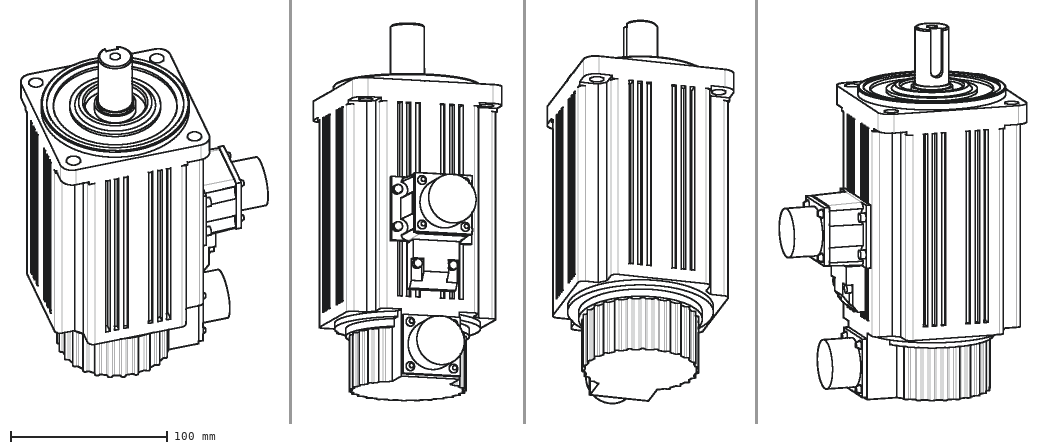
import cadquery as cq
import math


side = 100.0
half_side = side / 2
flange_corner_radius = 8.0
flange_corner_thickness = 12.4
flange_thickness = 14.5
bolt_hole_diameter = 9.0
bolt_spacing = 81.2

pilot_radius = 47.5
pilot_height = 5.0
pilot_chamfer = 0.7
pilot_lip_radius = 44.0
pilot_step_radius = 39.7
pilot_step_height = 3.8
pilot_floor_height = 2.0
ring_foot_radius = 29.2
ring_base_radius = 26.0
ring_top_radius = 23.5
ring_height = 6.2
ring_bore_radius = 19.7
ring_bore_chamfer = 1.2

shaft_radius = 11.0
shaft_tip = 44.5
shaft_chamfer = 1.0
shaft_seat_depth = flange_thickness
collar_radius = 13.3
collar_height = 5.5
shoulder_radius = 11.9
shoulder_height = 7.4
keyway_width = 8.0
keyway_floor = 7.0
keyway_end = 13.0
center_hole_diameter = 6.6
center_hole_depth = 14.2
drill_tip_angle = 118

stator_end = -140.8
cover_end = -149.5
notch_edge = 33.0
notch_chamfer = 4.5
notch_fillet = 3.8
core_radius = 48.5
slot_width = 2.8
slot_offsets = (8.3, 14.5, 20.5)

encoder_end = shaft_tip - 237.5
encoder_disc_radius = 46.8
encoder_disc_end = -153.0
encoder_band_radius = 39.7
encoder_band_end = -158.0
encoder_root_radius = 35.6
rib_count = 21
rib_pitch_angle = 13.5
rib_height = 2.0
rib_length = 5.7
rib_width = 3.0
rib_root_fillet = 1.2
encoder_block_width = 39.0

socket_plate_side = 38.2
barrel_radius = 16.0
barrel_length = 19.0
socket_screw_offset = 14.5
socket_screw_radius = 2.8
socket_screw_tip_radius = 1.5
socket_screw_height = 2.8
encoder_socket_z = -172.5
encoder_plate_thickness = 3.0

power_socket_z = -84.5
power_plate_thickness = 3.5
power_base_width = 53.7
power_base_height = 41.3
power_base_thickness = 2.8
pedestal_length = 22.3
pedestal_taper = 2
pedestal_corner_radius = 4.5
relief_radius = 5.2
relief_x = 21.4
base_screw_x = 23.5
base_screw_z = 12.0
base_screw_radius = 2.8
base_screw_height = 3.5

wedge_width = 30.9
wedge_depth = 12.8
wedge_top = -106.0
wedge_end = -136.3
wedge_slope_start = -126.4
wedge_slope_depth = 4.8
wedge_notch_width = 7.1
wedge_notch_depth = 4.5
wedge_notch_top = -118.0
wedge_screw_z = -121.1
wedge_screw_radius = 2.8
wedge_screw_height = 3.5


def square_prism(top, bottom):
    """Square block with the motor's side length."""
    return cq.Workplane("XY").workplane(offset=bottom).rect(side, side).extrude(top - bottom)


def disc(radius, top, bottom):
    return cq.Workplane("XY").workplane(offset=bottom).circle(radius).extrude(top - bottom)


def notched_prism(top, bottom):
    """Square block with an L-shaped notch along each corner, so the flange bolts stay reachable."""
    inner = notch_edge + notch_chamfer
    quarter = [(half_side, notch_edge), (inner, notch_edge), (notch_edge, inner), (notch_edge, half_side)]
    outline = []
    for turn in range(4):
        cos, sin = round(math.cos(turn * math.pi / 2)), round(math.sin(turn * math.pi / 2))
        outline += [(x * cos - y * sin, x * sin + y * cos) for x, y in quarter]
    return cq.Workplane("XY").workplane(offset=bottom).polyline(outline).close().extrude(top - bottom)


def on_outer_side(edge):
    center = edge.Center()
    return max(abs(center.x), abs(center.y)) > half_side - notch_fillet


def make_flange():
    plate = square_prism(0, -flange_corner_thickness).edges("|Z").fillet(flange_corner_radius)
    bolt_holes = (
        cq.Workplane("XY").rect(bolt_spacing, bolt_spacing, forConstruction=True).vertices()
        .circle(bolt_hole_diameter / 2).extrude(-flange_thickness)
    )
    return plate.union(notched_prism(-flange_corner_thickness, -flange_thickness)).cut(bolt_holes)


def make_pilot():
    """Turned pilot with two sunken steps and a conical seal ring around the shaft recess."""
    profile = [
        (ring_bore_radius, 0),
        (pilot_radius, 0),
        (pilot_radius, pilot_height - pilot_chamfer),
        (pilot_radius - pilot_chamfer, pilot_height),
        (pilot_lip_radius, pilot_height),
        (pilot_lip_radius, pilot_step_height),
        (pilot_step_radius, pilot_step_height),
        (pilot_step_radius, pilot_floor_height),
        (ring_foot_radius, pilot_floor_height),
        (ring_foot_radius, pilot_step_height),
        (ring_base_radius, pilot_step_height),
        (ring_top_radius, ring_height),
        (ring_bore_radius + ring_bore_chamfer, ring_height),
        (ring_bore_radius, ring_height - ring_bore_chamfer),
    ]
    return cq.Workplane("XZ").polyline(profile).close().revolve(360, (0, 0), (0, 1))


def make_stator():
    """Notched body with cooling slots that reach in to the round stator core."""
    body = notched_prism(-flange_thickness, cover_end).edges("|Z").filter(on_outer_side).fillet(notch_fillet)
    slot_positions = [(sign * offset, 0) for offset in slot_offsets for sign in (-1, 1)]
    slots = (
        cq.Workplane("XY").workplane(offset=stator_end)
        .pushPoints(slot_positions).rect(slot_width, side).extrude(-flange_thickness - stator_end)
    )
    core = disc(core_radius, -flange_thickness, stator_end)
    for angle in (0, 90):
        body = body.cut(slots.rotate((0, 0, 0), (0, 0, 1), angle).cut(core))
    return body


def on_encoder_root(edge):
    center = edge.Center()
    return abs(math.hypot(center.x, center.y) - encoder_root_radius) < rib_height / 10


def make_ribbed_drum():
    """Round drum with round-nosed ribs spread evenly around -Y, blended into the drum by a fillet along each side."""
    center_radius = encoder_root_radius + rib_height - rib_length / 2
    rib_span = (rib_count - 1) * rib_pitch_angle
    drum = disc(encoder_root_radius, encoder_band_end, encoder_end)
    ribs = (
        cq.Workplane("XY").workplane(offset=encoder_end)
        .polarArray(center_radius, -90 - rib_span / 2, rib_span, rib_count)
        .slot2D(rib_length, rib_width).extrude(encoder_band_end - encoder_end)
    )
    drum = drum.union(ribs)
    return drum.edges("|Z").filter(on_encoder_root).fillet(rib_root_fillet)


def make_encoder():
    encoder = disc(encoder_disc_radius, cover_end, encoder_disc_end)
    encoder = encoder.union(disc(encoder_band_radius, encoder_disc_end, encoder_band_end))
    block = (
        cq.Workplane("XY").workplane(offset=encoder_end)
        .center(0, half_side / 2).rect(encoder_block_width, half_side).extrude(cover_end - encoder_end)
    )
    return encoder.union(make_ribbed_drum()).union(block)


def facing_back(y, z):
    """Workplane facing +Y, with local x along Z and local y along X."""
    return cq.Workplane("ZX", origin=(0, y, z))


def make_socket(y, z, plate_thickness):
    """Square plate and round barrel, with a domed screw in each plate corner."""
    plate = facing_back(y, z).rect(socket_plate_side, socket_plate_side).extrude(plate_thickness)
    front = y + plate_thickness
    barrel = facing_back(front, z).circle(barrel_radius).extrude(barrel_length)
    screw_taper = math.degrees(math.atan2(socket_screw_radius - socket_screw_tip_radius, socket_screw_height))
    screws = (
        facing_back(front, z)
        .rect(2 * socket_screw_offset, 2 * socket_screw_offset, forConstruction=True).vertices()
        .circle(socket_screw_radius).extrude(socket_screw_height, taper=screw_taper)
    )
    return plate.union(barrel).union(screws)


def make_power_socket():
    """Socket raised on a tapered pedestal, whose flanks are relieved around the base screws."""
    base = facing_back(half_side, power_socket_z).rect(power_base_height, power_base_width)
    base = base.extrude(power_base_thickness)
    pedestal_y = half_side + power_base_thickness
    pedestal = (
        facing_back(pedestal_y, power_socket_z).rect(power_base_height, power_base_height)
        .extrude(pedestal_length, taper=pedestal_taper)
        .edges("not(#Y)").edges("not(|X or |Z)").fillet(pedestal_corner_radius)
    )
    reliefs = (
        facing_back(pedestal_y, power_socket_z)
        .rect(2 * base_screw_z, 2 * relief_x, forConstruction=True).vertices()
        .circle(relief_radius).extrude(pedestal_length)
    )
    screws = (
        facing_back(pedestal_y, power_socket_z)
        .rect(2 * base_screw_z, 2 * base_screw_x, forConstruction=True).vertices()
        .circle(base_screw_radius).extrude(base_screw_height)
    )
    socket = make_socket(pedestal_y + pedestal_length, power_socket_z, power_plate_thickness)
    return base.union(pedestal.cut(reliefs)).union(screws).union(socket)


def make_wedge():
    """Cable cover with a sloped lower end and a screw notch on each side."""
    face = half_side + wedge_depth
    profile = [
        (half_side, wedge_top),
        (face, wedge_top),
        (face, wedge_slope_start),
        (half_side + wedge_slope_depth, wedge_end),
        (half_side, wedge_end),
    ]
    wedge = cq.Workplane("YZ").polyline(profile).close().extrude(wedge_width / 2, both=True)
    notch_floor = face - wedge_notch_depth
    notch_height = wedge_notch_top - wedge_end
    screw_x = (wedge_width - wedge_notch_width) / 2
    for sign in (-1, 1):
        notch = (
            facing_back(notch_floor, wedge_end + notch_height / 2)
            .center(0, sign * screw_x).rect(notch_height, wedge_notch_width).extrude(wedge_notch_depth)
        )
        screw = (
            facing_back(notch_floor, wedge_screw_z)
            .center(0, sign * screw_x).circle(wedge_screw_radius).extrude(wedge_screw_height)
        )
        wedge = wedge.cut(notch).union(screw)
    return wedge


def make_shaft():
    """Stepped shaft with a keyway on its -X side and a drilled center hole."""
    profile = [
        (0, -shaft_seat_depth),
        (shaft_radius, -shaft_seat_depth),
        (shaft_radius, 0),
        (collar_radius, 0),
        (collar_radius, collar_height),
        (shoulder_radius, collar_height),
        (shoulder_radius, shoulder_height),
        (shaft_radius, shoulder_height),
        (shaft_radius, shaft_tip - shaft_chamfer),
        (shaft_radius - shaft_chamfer, shaft_tip),
        (0, shaft_tip),
    ]
    shaft = cq.Workplane("XZ").polyline(profile).close().revolve(360, (0, 0), (0, 1))

    half_key = keyway_width / 2
    keyway = (
        cq.Workplane("YZ", origin=(-keyway_floor, 0, 0))
        .moveTo(-half_key, shaft_tip)
        .lineTo(-half_key, keyway_end + half_key)
        .threePointArc((0, keyway_end), (half_key, keyway_end + half_key))
        .lineTo(half_key, shaft_tip)
        .close().extrude(-shaft_radius)
    )

    hole_radius = center_hole_diameter / 2
    hole_end = shaft_tip - center_hole_depth
    tip_length = hole_radius / math.tan(math.radians(drill_tip_angle / 2))
    hole_profile = [(0, shaft_tip), (hole_radius, shaft_tip), (hole_radius, hole_end), (0, hole_end - tip_length)]
    center_hole = cq.Workplane("XZ").polyline(hole_profile).close().revolve(360, (0, 0), (0, 1))
    return shaft.cut(keyway).cut(center_hole)


def make_housing():
    housing = make_flange().union(make_pilot()).union(make_stator()).union(make_encoder())
    housing = housing.union(make_power_socket()).union(make_wedge())
    housing = housing.union(make_socket(half_side, encoder_socket_z, encoder_plate_thickness))
    return housing.cut(disc(shaft_radius, 0, -shaft_seat_depth))


housing = make_housing()
shaft = make_shaft()

result = cq.Compound.makeCompound([housing.val(), shaft.val()])